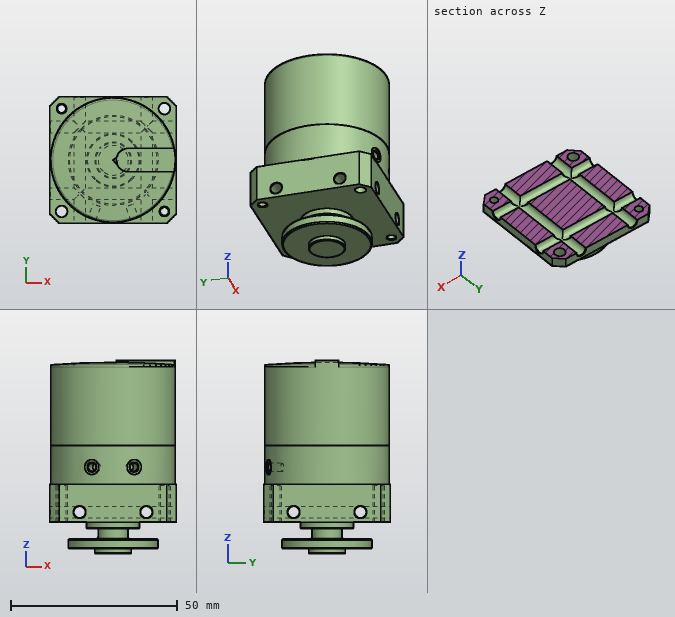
import cadquery as cq
import math

flange_top = 11.3
joint_level = 23.0
rim_level = 47.2
dome_top = 47.9
pointer_top = 48.5

flange_side = 38.0
corner_chamfer = 2.9
corner_hole_offset = 15.4
clearance_hole_d = 3.4
thread_core_d = 2.46
thread_mouth_d = 3.0
cross_hole_d = 3.5
cross_hole_mouth_d = 3.8
cross_hole_offset = 10.0
cross_hole_level = 3.0

body_d = 37.4
joint_chamfer = 0.1

port_angle = 20.0
port_level = 16.5
port_spotface_d = 4.5
port_spotface_depth = 0.15
port_depth = 4.2

spigot_d = 16.0
spigot_length = 2.0
spigot_chamfer = 0.3
shaft_d = 9.0
shaft_root_fillet = 0.5
disc_d = 27.0
disc_top = -5.0
disc_thickness = 3.0
disc_chamfer = 0.4
tip_d = 11.0
tip_length = 1.5
tip_chamfer = 0.3

rim_fillet = 0.6
pointer_width = 7.0
pointer_start = 1.0


def countersunk_hole(core_d, mouth_d, depth):
    """Hole cutter that starts at the origin, runs along +Z and has a 45 degree mouth."""
    core_r = core_d / 2
    mouth_r = mouth_d / 2
    profile = [(0, 0), (mouth_r, 0), (core_r, mouth_r - core_r), (core_r, depth), (0, depth)]
    return cq.Workplane("XZ").polyline(profile).close().revolve(360, (0, 0), (0, 1))


def double_countersunk_hole(core_d, mouth_d, length):
    """Through-hole cutter along +Z with a 45 degree mouth at both ends."""
    near = countersunk_hole(core_d, mouth_d, length)
    far = near.mirror("XY").translate((0, 0, length))
    return near.union(far)


def make_flange():
    flange = (
        cq.Workplane("XY")
        .rect(flange_side, flange_side)
        .extrude(flange_top)
        .edges("|Z")
        .chamfer(corner_chamfer)
    )
    threaded = double_countersunk_hole(thread_core_d, thread_mouth_d, flange_top)
    clearance = cq.Workplane("XY").circle(clearance_hole_d / 2).extrude(flange_top)
    cross = double_countersunk_hole(cross_hole_d, cross_hole_mouth_d, flange_side)
    along_y = cross.rotate((0, 0, 0), (1, 0, 0), -90).translate((0, -flange_side / 2, cross_hole_level))
    along_x = cross.rotate((0, 0, 0), (0, 1, 0), 90).translate((-flange_side / 2, 0, cross_hole_level))
    for side in (-1, 1):
        offset = side * corner_hole_offset
        flange = flange.cut(clearance.translate((offset, offset, 0)))
        flange = flange.cut(threaded.translate((offset, -offset, 0)))
        flange = flange.cut(along_y.translate((side * cross_hole_offset, 0, 0)))
        flange = flange.cut(along_x.translate((0, side * cross_hole_offset, 0)))
    return flange


def make_port(angle):
    """Radial port cutter, turned about Z by the angle from the -Y direction."""
    face_r = body_d / 2 - port_spotface_depth
    spotface = cq.Workplane("XY").circle(port_spotface_d / 2).extrude(-port_spotface_d)
    port = countersunk_hole(thread_core_d, thread_mouth_d, port_depth).union(spotface)
    port = port.rotate((0, 0, 0), (1, 0, 0), -90).translate((0, -face_r, port_level))
    return port.rotate((0, 0, 0), (0, 0, 1), angle)


def make_body_ring():
    ring = (
        cq.Workplane("XY")
        .workplane(offset=flange_top)
        .circle(body_d / 2)
        .extrude(joint_level - flange_top)
        .faces(">Z")
        .edges()
        .chamfer(joint_chamfer)
    )
    for angle in (-port_angle, port_angle):
        ring = ring.cut(make_port(angle))
    return ring


def make_output_end():
    spigot = (
        cq.Workplane("XY")
        .circle(spigot_d / 2)
        .extrude(-spigot_length)
        .faces("<Z")
        .edges()
        .chamfer(spigot_chamfer)
    )
    shaft = cq.Workplane("XY").circle(shaft_d / 2).extrude(disc_top)
    shaft_r = shaft_d / 2
    arc_inset = shaft_root_fillet * (1 - math.sqrt(0.5))
    root = (
        cq.Workplane("XZ")
        .moveTo(0, disc_top)
        .lineTo(shaft_r + shaft_root_fillet, disc_top)
        .threePointArc(
            (shaft_r + arc_inset, disc_top + arc_inset),
            (shaft_r, disc_top + shaft_root_fillet),
        )
        .lineTo(0, disc_top + shaft_root_fillet)
        .close()
        .revolve(360, (0, 0), (0, 1))
    )
    disc = (
        cq.Workplane("XY")
        .workplane(offset=disc_top)
        .circle(disc_d / 2)
        .extrude(-disc_thickness)
        .edges()
        .chamfer(disc_chamfer)
    )
    tip = (
        cq.Workplane("XY")
        .workplane(offset=disc_top - disc_thickness)
        .circle(tip_d / 2)
        .extrude(-tip_length)
        .faces("<Z")
        .edges()
        .chamfer(tip_chamfer)
    )
    return spigot.union(shaft).union(root).union(disc).union(tip)


def make_housing():
    return make_flange().union(make_body_ring()).union(make_output_end())


def make_cap():
    body_r = body_d / 2
    rim_r = body_r - rim_fillet
    rim_base = rim_level - rim_fillet
    arc_inset = rim_fillet * (1 - math.sqrt(0.5))
    dome_rise = dome_top - rim_level
    dome_radius = (rim_r ** 2 + dome_rise ** 2) / (2 * dome_rise)
    mid_r = rim_r / 2
    mid_level = dome_top - dome_radius + math.sqrt(dome_radius ** 2 - mid_r ** 2)
    shell = (
        cq.Workplane("XZ")
        .moveTo(0, joint_level)
        .lineTo(body_r, joint_level)
        .lineTo(body_r, rim_base)
        .threePointArc((body_r - arc_inset, rim_level - arc_inset), (rim_r, rim_level))
        .threePointArc((mid_r, mid_level), (0, dome_top))
        .close()
        .revolve(360, (0, 0), (0, 1))
    )
    round_center = pointer_start + pointer_width / 2
    bar = (
        cq.Workplane("XY")
        .workplane(offset=rim_base)
        .moveTo(body_d, pointer_width / 2)
        .lineTo(round_center, pointer_width / 2)
        .threePointArc((pointer_start, 0), (round_center, -pointer_width / 2))
        .lineTo(body_d, -pointer_width / 2)
        .close()
        .extrude(pointer_top - rim_base)
    )
    envelope = cq.Workplane("XY").workplane(offset=rim_base).circle(body_r).extrude(pointer_top - rim_base)
    pointer = bar.intersect(envelope)
    return shell.union(pointer)


housing = make_housing()
cap = make_cap()
result = cq.Compound.makeCompound([housing.val(), cap.val()])